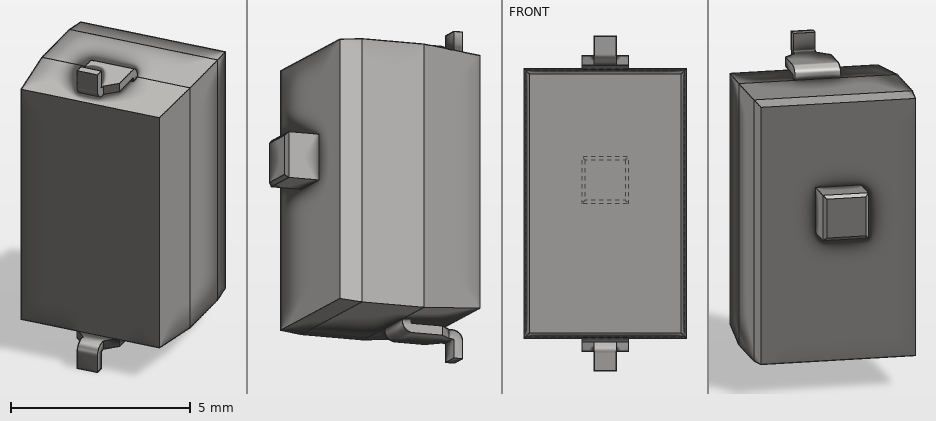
import cadquery as cq
import math

housing_width = 4.52
housing_height = 7.5
base_depth = 1.74
middle_depth = 1.86
cap_depth = 0.64
draft_angle = 5.0

button_side = 1.3
button_length = 0.995
button_chamfer = 0.09
button_centre_z = 0.65

lead_tip_z = 4.65
lead_thickness = 0.26
lead_inner_radius = 0.05
lead_outer_radius = lead_inner_radius + lead_thickness
lead_shelf_z = 4.11
lead_overhang = 0.2
lead_front_y = -(base_depth + lead_overhang)
lead_root_allowance = 0.19
lead_root_z = housing_height / 2 - lead_root_allowance
lead_wide = 1.3
lead_narrow = 0.62
neck_start_y = -1.2
neck_end_y = neck_start_y - (lead_wide - lead_narrow) / 2

cap_start_y = middle_depth
cap_end_y = cap_start_y + cap_depth


def slab(start_y, end_y, taper=0.0):
    """Housing slab from start_y to end_y, narrowing towards end_y by the taper angle."""
    distance = end_y - start_y
    direction = math.copysign(1, distance)
    plane = cq.Plane(origin=(0, start_y, 0), xDir=(1, 0, 0), normal=(0, direction, 0))
    return cq.Workplane(plane).rect(housing_width, housing_height).extrude(abs(distance), taper=taper)


def make_button():
    """Square button with a chamfered end."""
    return (
        cq.Workplane("XZ", origin=(0, cap_end_y, button_centre_z))
        .rect(button_side, button_side)
        .extrude(-button_length)
        .faces(">Y")
        .chamfer(button_chamfer)
    )


def make_upper_lead(base):
    """Z-bent strip with a narrowed tip, its root trimmed to the base face."""
    shelf_inner_z = lead_shelf_z - lead_thickness
    tip_rear_y = lead_front_y + lead_thickness
    strip = (
        cq.Workplane("YZ")
        .moveTo(0, lead_root_z)
        .lineTo(0, lead_shelf_z)
        .lineTo(tip_rear_y, lead_shelf_z)
        .lineTo(tip_rear_y, lead_tip_z)
        .lineTo(lead_front_y, lead_tip_z)
        .lineTo(lead_front_y, shelf_inner_z)
        .lineTo(-lead_thickness, shelf_inner_z)
        .lineTo(-lead_thickness, lead_root_z)
        .close()
        .extrude(lead_wide / 2, both=True)
    )

    def bend_edge(y, z):
        return cq.selectors.NearestToPointSelector((0, y, z))

    for y, z, radius in (
        (0, lead_shelf_z, lead_outer_radius),
        (-lead_thickness, shelf_inner_z, lead_inner_radius),
        (lead_front_y, shelf_inner_z, lead_outer_radius),
        (tip_rear_y, lead_shelf_z, lead_inner_radius),
    ):
        strip = strip.edges("|X").edges(bend_edge(y, z)).fillet(radius)

    half_wide = lead_wide / 2
    half_narrow = lead_narrow / 2
    flat_outline = (
        cq.Workplane("XY", origin=(0, 0, lead_root_z))
        .polyline([
            (-half_wide, 0),
            (-half_wide, neck_start_y),
            (-half_narrow, neck_end_y),
            (-half_narrow, lead_front_y),
            (half_narrow, lead_front_y),
            (half_narrow, neck_end_y),
            (half_wide, neck_start_y),
            (half_wide, 0),
        ])
        .close()
        .extrude(lead_tip_z - lead_root_z)
    )
    return strip.intersect(flat_outline).cut(base)


base = slab(0, -base_depth, draft_angle)
middle = slab(0, middle_depth)
cap = slab(cap_start_y, cap_end_y, draft_angle)
button = make_button()

leads = []
for turn in (0, 180):
    lead = make_upper_lead(base).rotate((0, 0, 0), (0, 1, 0), turn)
    leads.append(lead.solids().val())

result = cq.Compound.makeCompound([base.val(), middle.val(), cap.val(), button.val(), *leads])